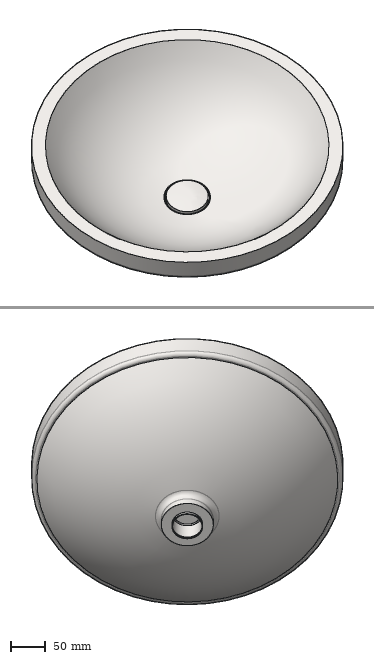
import cadquery as cq
import math


rim_dia = 445.0
rim_top_z = 149.5
rim_height = 35.5
rim_edge_radius = 6.0
opening_dia = 405.0

outer_bowl_radius = 295.5
outer_bowl_bottom_z = 21.5
inner_bowl_bottom_z = 36.5

neck_dia = 74.5
neck_bottom_z = 4.0
neck_fillet_radius = 10.0

tail_dia = 44.0
tail_bore_dia = 42.0
flange_dia = 66.5
flange_bottom_z = 32.0
cup_dia = 64.0
cup_floor_z = 34.3

stopper_dia = 60.0
stopper_rim_z = 41.5
stopper_top_z = 46.5

rim_radius = rim_dia / 2
rim_bottom_z = rim_top_z - rim_height
opening_radius = opening_dia / 2
outer_bowl_center_z = outer_bowl_bottom_z + outer_bowl_radius
inner_bowl_depth = rim_top_z - inner_bowl_bottom_z
inner_bowl_radius = (opening_radius**2 + inner_bowl_depth**2) / (2 * inner_bowl_depth)
inner_bowl_center_z = inner_bowl_bottom_z + inner_bowl_radius


def bowl_z(radius, sphere_radius, center_z):
    """Height of the lower half of a sphere at a distance from the Z axis."""
    return center_z - math.sqrt(sphere_radius**2 - radius**2)


flange_top_z = bowl_z(flange_dia / 2, inner_bowl_radius, inner_bowl_center_z)


def disc(diameter, bottom_z, top_z):
    """Upright cylinder on the Z axis."""
    return cq.Workplane("XY").workplane(offset=bottom_z).circle(diameter / 2).extrude(top_z - bottom_z)


def revolve_profile(profile):
    """Full turn of an XZ profile about the Z axis."""
    return profile.close().revolve(360, (0, 0, 0), (0, 1, 0))


def make_basin_shell():
    """Rim, bowl and neck in one turned shape, filled below the inner bowl surface."""
    neck_radius = neck_dia / 2
    fillet_center_r = neck_radius + neck_fillet_radius
    fillet_center_z = bowl_z(fillet_center_r, outer_bowl_radius + neck_fillet_radius, outer_bowl_center_z)
    bowl_share = outer_bowl_radius / (outer_bowl_radius + neck_fillet_radius)
    fillet_end_r = fillet_center_r * bowl_share
    fillet_end_z = outer_bowl_center_z + (fillet_center_z - outer_bowl_center_z) * bowl_share
    end_angle = math.atan2(fillet_end_z - fillet_center_z, fillet_end_r - fillet_center_r)
    middle_angle = (math.pi + end_angle) / 2
    fillet_middle = (
        fillet_center_r + neck_fillet_radius * math.cos(middle_angle),
        fillet_center_z + neck_fillet_radius * math.sin(middle_angle),
    )

    bowl_edge_r = math.sqrt(outer_bowl_radius**2 - (outer_bowl_center_z - rim_bottom_z) ** 2)
    outer_middle_r = (fillet_end_r + bowl_edge_r) / 2
    outer_middle_z = bowl_z(outer_middle_r, outer_bowl_radius, outer_bowl_center_z)
    inner_middle_r = opening_radius / 2
    inner_middle_z = bowl_z(inner_middle_r, inner_bowl_radius, inner_bowl_center_z)

    profile = (
        cq.Workplane("XZ")
        .moveTo(0, neck_bottom_z)
        .lineTo(neck_radius, neck_bottom_z)
        .lineTo(neck_radius, fillet_center_z)
        .threePointArc(fillet_middle, (fillet_end_r, fillet_end_z))
        .threePointArc((outer_middle_r, outer_middle_z), (bowl_edge_r, rim_bottom_z))
        .lineTo(rim_radius - rim_edge_radius, rim_bottom_z)
        .radiusArc((rim_radius, rim_bottom_z + rim_edge_radius), -rim_edge_radius)
        .lineTo(rim_radius, rim_top_z)
        .lineTo(opening_radius, rim_top_z)
        .threePointArc((inner_middle_r, inner_middle_z), (0, inner_bowl_bottom_z))
    )
    return revolve_profile(profile)


def make_basin():
    """Basin with a stepped hole that fits the drain flange and tail."""
    flange_recess = disc(flange_dia, flange_bottom_z, rim_top_z)
    tail_hole = disc(tail_dia, 0, rim_top_z)
    return make_basin_shell().cut(flange_recess).cut(tail_hole)


def make_drain():
    """Flanged cup with an open tail that projects below the basin neck."""
    flange = disc(flange_dia, flange_bottom_z, flange_top_z)
    tail = disc(tail_dia, 0, flange_bottom_z)
    cup = disc(cup_dia, cup_floor_z, flange_top_z)
    bore = disc(tail_bore_dia, 0, flange_top_z)
    return flange.union(tail).cut(cup).cut(bore)


def make_stopper():
    """Disc with a domed top that rests on the cup floor."""
    stopper_radius = stopper_dia / 2
    dome_rise = stopper_top_z - stopper_rim_z
    dome_radius = (stopper_radius**2 + dome_rise**2) / (2 * dome_rise)
    profile = (
        cq.Workplane("XZ")
        .moveTo(0, cup_floor_z)
        .lineTo(stopper_radius, cup_floor_z)
        .lineTo(stopper_radius, stopper_rim_z)
        .radiusArc((0, stopper_top_z), -dome_radius)
    )
    return revolve_profile(profile)


basin = make_basin()
drain = make_drain()
stopper = make_stopper()

result = cq.Compound.makeCompound([basin.solids().val(), drain.solids().val(), stopper.val()])